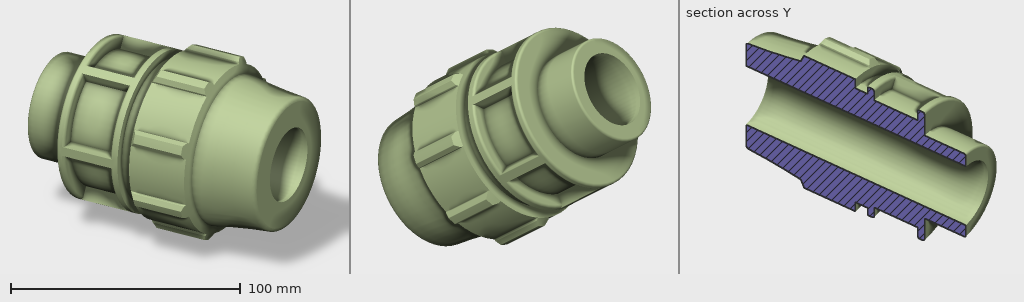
import cadquery as cq
import math

LENGTH = 117.0
BORE_DIAMETER = 33.5

SPIGOT_DIAMETER = 47.9
SPIGOT_EDGE_RADIUS = 1.0

BODY_START = 21.9
BODY_END = 52.3
BODY_DIAMETER = 73.8
FIRST_FLANGE_WIDTH = 3.9
SECOND_FLANGE_WIDTH = 3.6
FLANGE_EDGE_RADIUS = 1.2
CORE_DIAMETER = 61.7
BODY_RIB_COUNT = 6
BODY_RIB_WIDTH = 4.3
BODY_RIB_TRIM = 2.3

NECK_DIAMETER = 65.6

NUT_START = 58.7
NUT_END = 87.9
NUT_DIAMETER = 76.0
NUT_SHOULDER_START = 86.1
NUT_SHOULDER_END_DIAMETER = 68.1

NUT_RIB_COUNT = 8
NUT_RIB_TIP_RADIUS = 41.0
NUT_RIB_SIDE_RADIUS = 38.8
NUT_RIB_BASE_WIDTH = 7.3
NUT_RIB_TIP_WIDTH = 4.0
NUT_RIB_LEAD_LENGTH = 2.3

TAIL_END_DIAMETER = 60.4
TAIL_EDGE_RADIUS = 1.8
TAIL_HOLLOW = 0.5

bore_radius = BORE_DIAMETER / 2
spigot_radius = SPIGOT_DIAMETER / 2
body_radius = BODY_DIAMETER / 2
core_radius = CORE_DIAMETER / 2
neck_radius = NECK_DIAMETER / 2
nut_radius = NUT_DIAMETER / 2
shoulder_radius = NUT_SHOULDER_END_DIAMETER / 2
tail_radius = TAIL_END_DIAMETER / 2


def revolve_about_x(profile):
    return profile.close().revolve(360, (0, 0, 0), (1, 0, 0))


def cylinder_along_x(start, end, radius):
    return cq.Workplane("YZ", origin=(start, 0, 0)).circle(radius).extrude(end - start)


def make_spigot():
    spigot = cylinder_along_x(0, BODY_START, spigot_radius)
    return spigot.faces("<X").edges().fillet(SPIGOT_EDGE_RADIUS)


def make_body():
    first_flange = cylinder_along_x(BODY_START, BODY_START + FIRST_FLANGE_WIDTH, body_radius)
    first_flange = first_flange.edges().fillet(FLANGE_EDGE_RADIUS)
    second_flange = cylinder_along_x(BODY_END - SECOND_FLANGE_WIDTH, BODY_END, body_radius)
    second_flange = second_flange.faces("<X").edges().fillet(FLANGE_EDGE_RADIUS)
    core = cylinder_along_x(BODY_START, BODY_END, core_radius)
    return core.union(first_flange).union(second_flange).union(make_body_ribs())


def make_body_ribs():
    start = BODY_START + FLANGE_EDGE_RADIUS
    length = BODY_END - start
    bar = (
        cq.Workplane("YZ", origin=(start, 0, 0))
        .rect(BODY_DIAMETER + BODY_RIB_TRIM, BODY_RIB_WIDTH)
        .extrude(length)
    )
    bars = cq.Workplane("XY")
    for index in range(BODY_RIB_COUNT // 2):
        bars = bars.add(bar.rotate((0, 0, 0), (1, 0, 0), index * 360 / BODY_RIB_COUNT))
    return cylinder_along_x(start, BODY_END, body_radius).intersect(bars.combine())


def make_neck():
    return cylinder_along_x(BODY_END, NUT_START, neck_radius)


def make_nut():
    shoulder_slope = (NUT_END - NUT_SHOULDER_START) / (nut_radius - shoulder_radius)
    tip_end = NUT_SHOULDER_START - shoulder_slope * (NUT_RIB_TIP_RADIUS - nut_radius)
    envelope = revolve_about_x(
        cq.Workplane("XY")
        .moveTo(NUT_START, 0)
        .lineTo(NUT_START, nut_radius)
        .lineTo(NUT_START + NUT_RIB_LEAD_LENGTH, NUT_RIB_TIP_RADIUS)
        .lineTo(tip_end, NUT_RIB_TIP_RADIUS)
        .lineTo(NUT_END, shoulder_radius)
        .lineTo(NUT_END, 0)
    )
    barrel = cylinder_along_x(NUT_START, NUT_END, nut_radius)
    return barrel.union(make_nut_rib_bars()).intersect(envelope)


def make_nut_rib_bars():
    half_base = NUT_RIB_BASE_WIDTH / 2
    half_tip = NUT_RIB_TIP_WIDTH / 2
    bar = (
        cq.Workplane("YZ", origin=(NUT_START, 0, 0))
        .polyline([
            (-half_base, neck_radius),
            (-half_base, NUT_RIB_SIDE_RADIUS),
            (-half_tip, NUT_RIB_TIP_RADIUS),
            (half_tip, NUT_RIB_TIP_RADIUS),
            (half_base, NUT_RIB_SIDE_RADIUS),
            (half_base, neck_radius),
        ])
        .close()
        .extrude(NUT_END - NUT_START)
    )
    pitch = 360 / NUT_RIB_COUNT
    bars = cq.Workplane("XY")
    for index in range(NUT_RIB_COUNT):
        bars = bars.add(bar.rotate((0, 0, 0), (1, 0, 0), (index + 0.5) * pitch))
    return bars.combine()


def make_tail():
    taper_length = LENGTH - NUT_END
    taper_drop = shoulder_radius - tail_radius
    chord = math.hypot(taper_length, taper_drop)
    middle = (
        NUT_END + taper_length / 2 - TAIL_HOLLOW * taper_drop / chord,
        (shoulder_radius + tail_radius) / 2 - TAIL_HOLLOW * taper_length / chord,
    )
    tail = revolve_about_x(
        cq.Workplane("XY")
        .moveTo(NUT_END, 0)
        .lineTo(NUT_END, shoulder_radius)
        .threePointArc(middle, (LENGTH, tail_radius))
        .lineTo(LENGTH, 0)
    )
    return tail.faces(">X").edges().fillet(TAIL_EDGE_RADIUS)


outside = make_spigot().union(make_body()).union(make_neck()).union(make_nut()).union(make_tail())
result = outside.cut(cylinder_along_x(0, LENGTH, bore_radius))